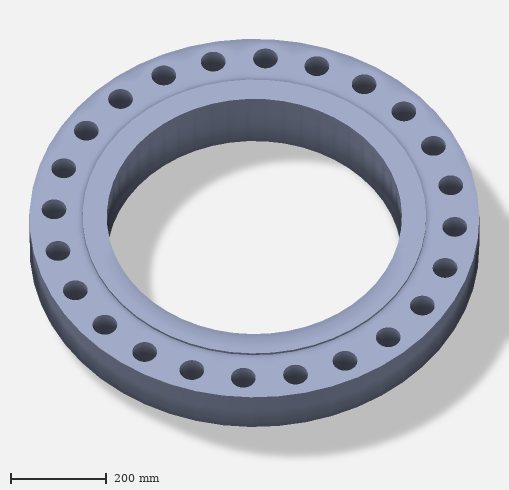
import cadquery as cq

flange_diameter = 940.0
flange_thickness = 102.0
face_diameter = 718.0
raised_face_height = 6.0
hub_diameter = 718.0
hub_height = 38.0
bore_diameter = 616.5
bolt_circle_diameter = 838.0
bolt_hole_diameter = 52.0
bolt_count = 24

bolt_pitch_angle = 360 / bolt_count
total_height = hub_height + flange_thickness + raised_face_height


def disc(diameter, height, base_z):
    """Solid disc on the Z axis, standing on base_z."""
    return cq.Workplane("XY", origin=(0, 0, base_z)).circle(diameter / 2).extrude(height)


def bolt_holes():
    """Through-hole cutters spaced evenly around the bolt circle."""
    return (
        cq.Workplane("XY")
        .polarArray(bolt_circle_diameter / 2, bolt_pitch_angle / 2, 360, bolt_count)
        .circle(bolt_hole_diameter / 2)
        .extrude(total_height)
    )


hub = disc(hub_diameter, hub_height, 0)
flange = disc(flange_diameter, flange_thickness, hub_height)
raised_face = disc(face_diameter, raised_face_height, hub_height + flange_thickness)
bore = disc(bore_diameter, total_height, 0)

result = hub.union(flange).union(raised_face).cut(bore).cut(bolt_holes())